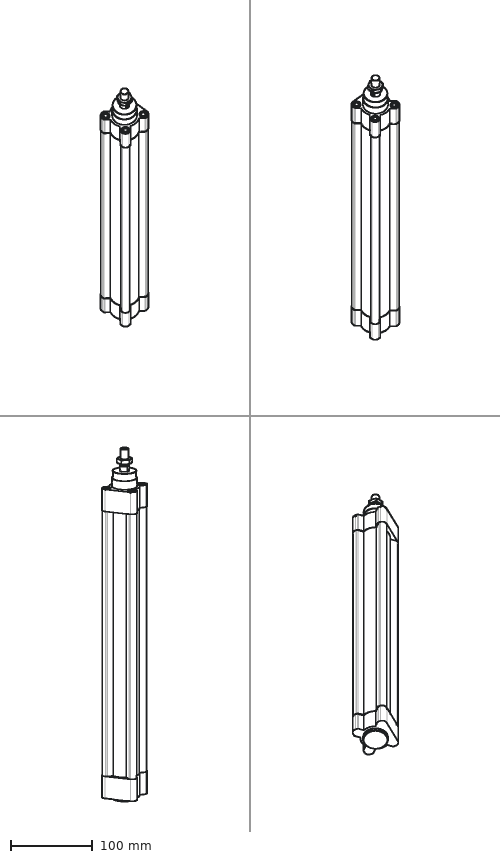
import cadquery as cq
import math

TOTAL_LENGTH = 445.0
REAR_COLLAR_LENGTH = 4.0
CAP_LENGTH = 28.0
THREAD_LENGTH = 22.0
ROD_FLAT_LENGTH = 5.0
NOSE_GAP = 28.0
FRONT_FACE_GAP = 48.0

NOSE_TOP_Z = TOTAL_LENGTH - NOSE_GAP
FRONT_FACE_Z = TOTAL_LENGTH - FRONT_FACE_GAP
SHOULDER_Z = TOTAL_LENGTH - THREAD_LENGTH
TUBE_TOP_Z = FRONT_FACE_Z - CAP_LENGTH
TUBE_BOTTOM_Z = REAR_COLLAR_LENGTH + CAP_LENGTH

CAP_WIDTH = 45.0
CAP_BARREL_DIAMETER = 37.5
CAP_ARM_WIDTH = 13.0
TUBE_WIDTH = 44.5
TUBE_BARREL_DIAMETER = 36.5
TUBE_ARM_WIDTH = 10.5
CORNER_RADIUS = 6.0
ARM_EDGE_RADIUS = 2.0
SCREW_SPACING = 32.5

COLLAR_DIAMETER = 30.5
NOSE_DIAMETER = 29.5
NOSE_LENGTH = 9.5
NOSE_HOLLOW = 0.5
NOSE_CHAMFER = 0.5
COLLAR_CHAMFER = 1.0

SCREW_HEAD_DIAMETER = 8.0
SCREW_RECESS_DIAMETER = 9.5
SCREW_GROOVE_DEPTH = 1.5
SCREW_HOLE_DIAMETER = 5.0
SCREW_HOLE_DEPTH = 12.0
COUNTERSINK_DIAMETER = 6.0

ROD_DIAMETER = 12.0
THREAD_DIAMETER = 10.0
UNDERCUT_DIAMETER = 9.0
UNDERCUT_LENGTH = 1.5
RUNOUT_LENGTH = 2.0
THREAD_CHAMFER = 0.5
ROD_ACROSS_FLATS = 10.0
ROD_BOTTOM_Z = TUBE_TOP_Z

NUT_ACROSS_FLATS = 17.0
NUT_HEIGHT = 6.0
NUT_FACE_DIAMETER = 16.5
NUT_CHAMFER_ANGLE = 30
NUT_CORNER_HALF_ANGLE = 30
NUT_TOP_GAP = 12.5
NUT_BOTTOM_Z = TOTAL_LENGTH - NUT_TOP_GAP - NUT_HEIGHT


def cylinder(diameter, bottom, height):
    return cq.Workplane("XY").workplane(offset=bottom).circle(diameter / 2).extrude(height)


def diagonal_arms(width, arm_width, bottom, height):
    """Diagonal strip across a square: rounded tips, and eased edges where the strip meets the sides."""
    strip = cq.Workplane("XY").workplane(offset=bottom).rect(2 * width, arm_width).extrude(height)
    square = (
        cq.Workplane("XY").workplane(offset=bottom)
        .transformed(rotate=(0, 0, 45))
        .rect(width, width)
        .extrude(height)
    )
    arms = strip.intersect(square)
    arms = arms.edges("|Z").edges("<X or >X").fillet(CORNER_RADIUS)
    return arms.edges("|Z").edges("<Y or >Y").fillet(ARM_EDGE_RADIUS)


def lobed_bar(width, barrel_diameter, arm_width, bottom, height):
    """Round barrel with four diagonal arms that reach the corners of a square."""
    bar = cylinder(barrel_diameter, bottom, height)
    arms = diagonal_arms(width, arm_width, bottom, height)
    for angle in (45, 135):
        bar = bar.union(arms.rotate((0, 0, 0), (0, 0, 1), angle))
    return bar


def end_cap(bottom):
    """Lobed cap with a flat port face that fills the gap between the +Y arms."""
    port_block = (
        cq.Workplane("XY").workplane(offset=bottom)
        .center(0, CAP_WIDTH / 4)
        .rect(SCREW_SPACING, CAP_WIDTH / 2)
        .extrude(CAP_LENGTH)
    )
    return lobed_bar(CAP_WIDTH, CAP_BARREL_DIAMETER, CAP_ARM_WIDTH, bottom, CAP_LENGTH).union(port_block)


def make_rear_collar():
    return cylinder(COLLAR_DIAMETER, 0, REAR_COLLAR_LENGTH).faces("<Z").chamfer(COLLAR_CHAMFER)


def make_front_collar():
    """Plain collar below a narrower nose whose side is slightly hollow."""
    nose_radius = NOSE_DIAMETER / 2
    nose_bottom = NOSE_TOP_Z - NOSE_LENGTH
    chamfer_bottom = NOSE_TOP_Z - NOSE_CHAMFER
    hollow_middle = (nose_radius - NOSE_HOLLOW, (nose_bottom + chamfer_bottom) / 2)
    return (
        cq.Workplane("XZ")
        .moveTo(0, FRONT_FACE_Z)
        .lineTo(COLLAR_DIAMETER / 2, FRONT_FACE_Z)
        .lineTo(COLLAR_DIAMETER / 2, nose_bottom)
        .lineTo(nose_radius, nose_bottom)
        .threePointArc(hollow_middle, (nose_radius, chamfer_bottom))
        .lineTo(nose_radius - NOSE_CHAMFER, NOSE_TOP_Z)
        .lineTo(0, NOSE_TOP_Z)
        .close()
        .revolve(360, (0, 0, 0), (0, 1, 0))
    )


def make_screw_recess():
    """Ring groove around a screw head, and the countersunk hole in that head."""
    groove_bottom = FRONT_FACE_Z - SCREW_GROOVE_DEPTH
    groove = cylinder(SCREW_RECESS_DIAMETER, groove_bottom, SCREW_GROOVE_DEPTH)
    groove = groove.cut(cylinder(SCREW_HEAD_DIAMETER, groove_bottom, SCREW_GROOVE_DEPTH))
    hole = cylinder(SCREW_HOLE_DIAMETER, FRONT_FACE_Z - SCREW_HOLE_DEPTH, SCREW_HOLE_DEPTH)
    countersink_depth = (COUNTERSINK_DIAMETER - SCREW_HOLE_DIAMETER) / 2
    countersink = (
        cylinder(COUNTERSINK_DIAMETER, FRONT_FACE_Z - countersink_depth, 2 * countersink_depth)
        .faces("<Z").chamfer(countersink_depth)
    )
    return groove.union(hole).union(countersink)


def make_housing():
    housing = lobed_bar(
        TUBE_WIDTH, TUBE_BARREL_DIAMETER, TUBE_ARM_WIDTH, TUBE_BOTTOM_Z, TUBE_TOP_Z - TUBE_BOTTOM_Z
    )
    housing = housing.union(end_cap(REAR_COLLAR_LENGTH)).union(end_cap(TUBE_TOP_Z))
    housing = housing.union(make_rear_collar()).union(make_front_collar())

    screw_recess = make_screw_recess()
    for x in (-SCREW_SPACING / 2, SCREW_SPACING / 2):
        for y in (-SCREW_SPACING / 2, SCREW_SPACING / 2):
            housing = housing.cut(screw_recess.translate((x, y, 0)))

    bore = cylinder(ROD_DIAMETER, ROD_BOTTOM_Z, NOSE_TOP_Z - ROD_BOTTOM_Z)
    return housing.cut(bore)


def make_rod():
    rod = cylinder(ROD_DIAMETER, ROD_BOTTOM_Z, SHOULDER_Z - ROD_BOTTOM_Z)
    for side in (-1, 1):
        cutter = (
            cq.Workplane("XY").workplane(offset=SHOULDER_Z - ROD_FLAT_LENGTH)
            .center(side * (ROD_ACROSS_FLATS + ROD_DIAMETER) / 2, 0)
            .rect(ROD_DIAMETER, ROD_DIAMETER)
            .extrude(ROD_FLAT_LENGTH)
        )
        rod = rod.cut(cutter)
    return rod.union(make_thread())


def make_thread():
    """Thread cylinder with a chamfered tip, tapering down to an undercut above the shoulder."""
    undercut_top = SHOULDER_Z + UNDERCUT_LENGTH
    thread_radius = THREAD_DIAMETER / 2
    return (
        cq.Workplane("XZ")
        .moveTo(0, SHOULDER_Z)
        .lineTo(UNDERCUT_DIAMETER / 2, SHOULDER_Z)
        .lineTo(UNDERCUT_DIAMETER / 2, undercut_top)
        .lineTo(thread_radius, undercut_top + RUNOUT_LENGTH)
        .lineTo(thread_radius, TOTAL_LENGTH - THREAD_CHAMFER)
        .lineTo(thread_radius - THREAD_CHAMFER, TOTAL_LENGTH)
        .lineTo(0, TOTAL_LENGTH)
        .close()
        .revolve(360, (0, 0, 0), (0, 1, 0))
    )


def make_nut():
    """Hexagon nut with two corners on the Y axis, its corners trimmed by a chamfered disc."""
    across_corners = NUT_ACROSS_FLATS / math.cos(math.radians(NUT_CORNER_HALF_ANGLE))
    face_inset = (across_corners - NUT_FACE_DIAMETER) / 2
    chamfer_height = face_inset * math.tan(math.radians(NUT_CHAMFER_ANGLE))
    hexagon = (
        cq.Workplane("XY").workplane(offset=NUT_BOTTOM_Z)
        .transformed(rotate=(0, 0, NUT_CORNER_HALF_ANGLE))
        .polygon(6, across_corners)
        .extrude(NUT_HEIGHT)
    )
    disc = (
        cylinder(across_corners, NUT_BOTTOM_Z, NUT_HEIGHT)
        .faces("<Z or >Z").chamfer(chamfer_height, face_inset)
    )
    return hexagon.intersect(disc).cut(cylinder(THREAD_DIAMETER, NUT_BOTTOM_Z, NUT_HEIGHT))


housing = make_housing().solids()
rod = make_rod().solids()
nut = make_nut().solids()

result = cq.Compound.makeCompound([housing.val(), rod.val(), nut.val()])